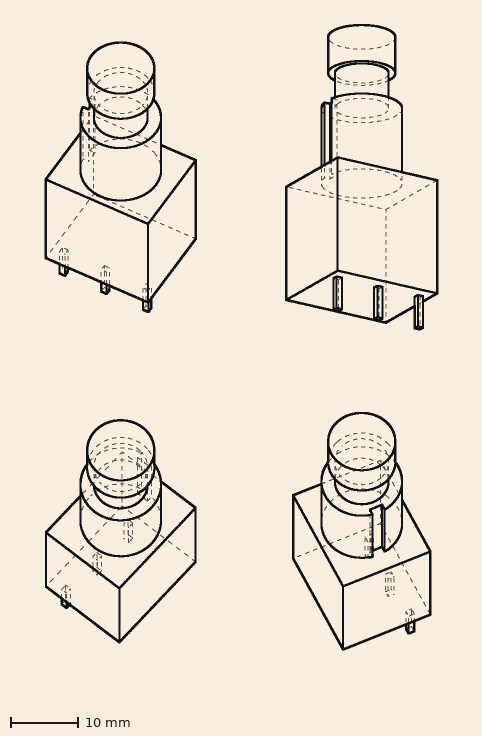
import cadquery as cq

total_height = 46.3
body_length = 17.5
body_width = 14.3
body_height = 18.0

pin_size = 0.93
pin_length = 5.0
pin_pitch = 7.15
pin_count = 3
pin_row_y = -4.6

bushing_diameter = 12.0
bushing_height = 12.0
keyway_width = 2.0
keyway_depth = 1.0

neck_diameter = 8.0
cap_diameter = 10.0
cap_height = 5.75

body_bottom = pin_length
body_top = body_bottom + body_height
bushing_top = body_top + bushing_height
cap_bottom = total_height - cap_height


def cylinder(diameter, bottom, top):
    """Vertical cylinder on the part axis between two levels."""
    return cq.Workplane("XY").workplane(offset=bottom).circle(diameter / 2).extrude(top - bottom)


def make_housing():
    """Rectangular block standing above the pins."""
    return (
        cq.Workplane("XY")
        .workplane(offset=body_bottom)
        .rect(body_length, body_width)
        .extrude(body_height)
    )


def make_pins():
    """Single row of square pins along X."""
    return (
        cq.Workplane("XY")
        .center(0, pin_row_y)
        .rarray(pin_pitch, 0.45, pin_count, 1)
        .rect(pin_size, pin_size)
        .extrude(pin_length)
    )


def make_bushing():
    """Round bushing with a full-height keyway on its -X side."""
    keyway = (
        cq.Workplane("XY")
        .workplane(offset=body_top)
        .center(-bushing_diameter / 2, 0)
        .rect(2 * keyway_depth, keyway_width)
        .extrude(bushing_height)
    )
    return cylinder(bushing_diameter, body_top, bushing_top).cut(keyway)


neck = cylinder(neck_diameter, bushing_top, cap_bottom)
cap = cylinder(cap_diameter, cap_bottom, total_height)

result = make_housing().union(make_pins()).union(make_bushing()).union(neck).union(cap)